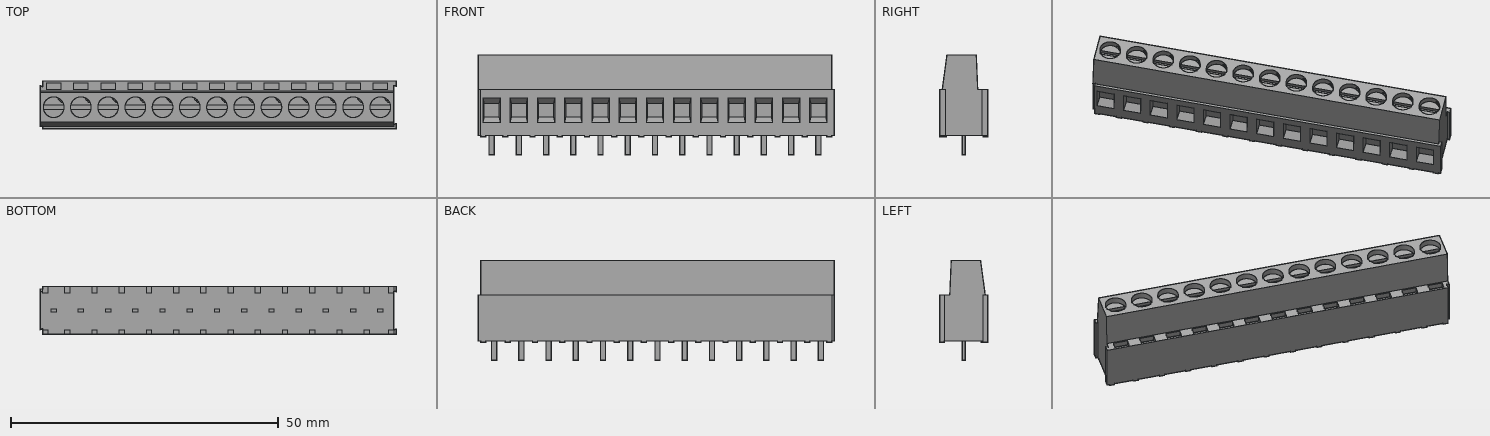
import cadquery as cq

POLES = 13
TOTAL_LENGTH = 66.55
BODY_LENGTH = 66.1
SHIFT = TOTAL_LENGTH - BODY_LENGTH
DEPTH = 9.0
HEIGHT = 18.7
PITCH = BODY_LENGTH / POLES
POLE_CENTRES = [(i + 0.5) * PITCH for i in range(POLES)]

BODY_BOTTOM = 3.6
SHELF_HEIGHT = 12.25

BLOCK_FRONT_LOW = 0.45
BLOCK_FRONT_TOP = 1.3
BLOCK_BACK_LOW = DEPTH - 1.85
BLOCK_BACK_TOP = DEPTH - 2.1

STRIP_ROOT = 0.85
STRIP_TIP = 1.05

ENTRY_DEPTH = 1.3
MOUTH_WIDTH = 3.25
MOUTH_BOTTOM = 6.05
MOUTH_TOP = 10.65
FLOOR_WIDTH = 2.8
FLOOR_BOTTOM = 7.05
FLOOR_TOP = 9.65

SCREW_Y = 4.05
SCREW_RADIUS = 1.9
SCREW_RECESS = 1.2
SLOT_WIDTH = 0.8
SLOT_DEPTH = 0.65

TAB_REACH = 0.25
TAB_WIDTH = 0.9
TAB_DROP = 0.5
TAB_THICKNESS = 0.05
TAB_ANGLE = 45

POCKET_LENGTH = 2.7
POCKET_WIDTH = 1.2
POCKET_Y = DEPTH - 1.0
POCKET_DEPTH = 1.0

PIN_WIDTH = 1.0
PIN_THICKNESS = 0.6
PIN_Y = DEPTH / 2

FOOT_LENGTH = 1.0
FOOT_HEIGHT = 0.2
FRONT_FOOT_WIDTH = 1.25
BACK_FOOT_WIDTH = STRIP_ROOT


def box(x, y, z, length, width, height):
    """Box with its lowest corner at (x, y, z)."""
    return cq.Workplane("XY").box(length, width, height, centered=False).translate((x, y, z))


def lower_body():
    """Base whose strips sit SHIFT further along X, so neighbouring blocks interlock."""
    outline = [
        (SHIFT, 0),
        (TOTAL_LENGTH, 0),
        (TOTAL_LENGTH, STRIP_TIP),
        (BODY_LENGTH, STRIP_ROOT),
        (BODY_LENGTH, DEPTH - STRIP_ROOT),
        (TOTAL_LENGTH, DEPTH - STRIP_TIP),
        (TOTAL_LENGTH, DEPTH),
        (SHIFT, DEPTH),
        (SHIFT, DEPTH - STRIP_TIP),
        (0, DEPTH - STRIP_ROOT),
        (0, STRIP_ROOT),
        (SHIFT, STRIP_TIP),
    ]
    base = cq.Workplane("XY").workplane(offset=BODY_BOTTOM).polyline(outline).close()
    return base.extrude(SHELF_HEIGHT - BODY_BOTTOM)


def upper_block():
    """Tapered block carrying the screws."""
    profile = [
        (BLOCK_FRONT_LOW, SHELF_HEIGHT),
        (BLOCK_BACK_LOW, SHELF_HEIGHT),
        (BLOCK_BACK_TOP, HEIGHT),
        (BLOCK_FRONT_TOP, HEIGHT),
    ]
    return cq.Workplane("YZ").polyline(profile).close().extrude(BODY_LENGTH)


def wire_entry(x):
    mouth_height = MOUTH_TOP - MOUTH_BOTTOM
    floor_height = FLOOR_TOP - FLOOR_BOTTOM
    mouth_middle = (MOUTH_TOP + MOUTH_BOTTOM) / 2
    floor_rise = (FLOOR_TOP + FLOOR_BOTTOM) / 2 - mouth_middle
    mouth = cq.Workplane("XZ", origin=(x, 0, mouth_middle)).rect(MOUTH_WIDTH, mouth_height)
    floor = mouth.workplane(offset=-ENTRY_DEPTH).center(0, floor_rise).rect(FLOOR_WIDTH, floor_height)
    return floor.loft(ruled=True)


def retaining_tab(x):
    """Thin tab on the recess wall that overhangs the screw head."""
    centre = cq.Workplane("XY", origin=(x, SCREW_Y, HEIGHT - TAB_DROP - TAB_THICKNESS))
    radial = centre.transformed(rotate=(0, 0, TAB_ANGLE))
    return radial.center(SCREW_RADIUS, 0).rect(2 * TAB_REACH, TAB_WIDTH).extrude(TAB_THICKNESS)


def screw_recess(x):
    """Round recess down to the screw head, with the driver slot cut below it."""
    head_height = HEIGHT - SCREW_RECESS
    recess = cq.Workplane("XY", origin=(x, SCREW_Y, head_height)).circle(SCREW_RADIUS).extrude(SCREW_RECESS)
    slot_floor = cq.Workplane("XY", origin=(x, SCREW_Y, head_height - SLOT_DEPTH))
    disc = slot_floor.circle(SCREW_RADIUS).extrude(SLOT_DEPTH)
    bar = slot_floor.rect(2 * SCREW_RADIUS, SLOT_WIDTH).extrude(SLOT_DEPTH)
    return recess.cut(retaining_tab(x)).union(disc.intersect(bar))


def shelf_pocket(x):
    corner_x = x - POCKET_LENGTH / 2
    corner_y = POCKET_Y - POCKET_WIDTH / 2
    return box(corner_x, corner_y, SHELF_HEIGHT - POCKET_DEPTH, POCKET_LENGTH, POCKET_WIDTH, POCKET_DEPTH)


def pin(x):
    corner_x = x - PIN_WIDTH / 2
    return box(corner_x, PIN_Y - PIN_THICKNESS / 2, 0, PIN_WIDTH, PIN_THICKNESS, BODY_BOTTOM)


def feet(x):
    """Front and back foot, as one pair, starting at x."""
    bottom = BODY_BOTTOM - FOOT_HEIGHT
    front = box(x, 0, bottom, FOOT_LENGTH, FRONT_FOOT_WIDTH, FOOT_HEIGHT)
    back = box(x, DEPTH - BACK_FOOT_WIDTH, bottom, FOOT_LENGTH, BACK_FOOT_WIDTH, FOOT_HEIGHT)
    return front.union(back)


result = lower_body().union(upper_block())

for centre in POLE_CENTRES:
    result = result.cut(wire_entry(centre)).cut(screw_recess(centre)).cut(shelf_pocket(centre))
    result = result.union(pin(centre))

foot_starts = [i * PITCH - FOOT_LENGTH / 2 for i in range(1, POLES)]
for start in [SHIFT] + foot_starts + [BODY_LENGTH - FOOT_LENGTH]:
    result = result.union(feet(start))